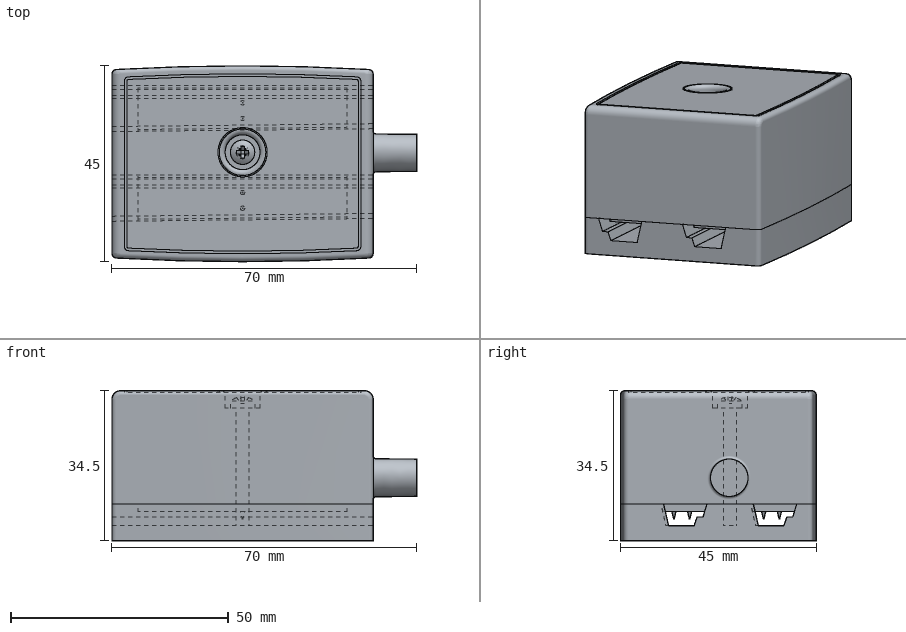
import cadquery as cq
import math

length = 60.0
width = 45.0
height = 34.5
side_bow_radius = 500.0
base_height = 8.5
end_fillet = 2.0
side_fillet = 1.1

label_inset_x = 3.45
label_inset_y = 2.45
label_thickness = 0.4
label_corner = 0.4
label_gap = 0.6
label_hole_dia = 11.3

screw_y = 2.65
rim_dia = 10.67
bore_dia = 8.0
bore_lip_fillet = 1.05
bore_depth = 4.0
head_dia = 5.6
head_height = 2.6
head_edge_height = 1.6
shank_dia = 3.0
shank_in_base = 5.0
cross_length = 3.0
cross_arm = 0.8
cross_floor_length = 0.8
cross_depth = 1.6
cross_center = 1.9
cross_center_taper = 50.0

stub_length = 10.0
stub_root_dia = 8.8
stub_tip_dia = 8.6
stub_fillet = 0.6
stub_y = 2.5
stub_z = 14.5

channel_pitch = 20.6
first_channel_y = 12.7
channel_top_half = 5.3
channel_depth = 5.0
ledge_depth = 3.0
ledge_width = 1.35
ledge_side_run = 0.95
lower_side_run = 0.7
plain_side_run = 1.15
channel_taper = 0.65

tongue_depth = 1.75
tongue_setback = 6.0
spike_offsets = (1.3, -2.3)
spike_root_dia = 1.0
spike_tip_dia = 0.15
spike_length = 1.75

channel_centers = [first_channel_y - i * channel_pitch for i in range(2)]
select_margin = 0.1


def bowed_outline(x_half, y_half, bow_radius, z):
    """Closed outline with straight ends and arced long sides, y_half tall in the middle."""
    rise = bow_radius - math.sqrt(bow_radius**2 - x_half**2)
    y_end = y_half - rise
    return (
        cq.Workplane("XY", origin=(0, 0, z))
        .moveTo(-x_half, -y_end)
        .threePointArc((0, -y_half), (x_half, -y_end))
        .lineTo(x_half, y_end)
        .threePointArc((0, y_half), (-x_half, y_end))
        .close()
    )


def rounded_enclosure():
    """Full-height block: rounded top ends, then one round running along each long side."""
    block = bowed_outline(length / 2, width / 2, side_bow_radius, 0).extrude(height)
    block = block.faces(">Z").edges("|Y").fillet(end_fillet)
    side_edges = block.faces("<Y or >Y").edges().filter(lambda edge: edge.BoundingBox().zmax > select_margin)
    return side_edges.fillet(side_fillet)


def base_zone():
    """Block spanning everything below the joint between base and housing."""
    return cq.Workplane("XY").rect(2 * length, 2 * width).extrude(base_height)


def label_plate(growth):
    """Label outline, grown on every side, from the recess floor up to the top face."""
    x_half = length / 2 - label_inset_x + growth
    y_half = width / 2 - label_inset_y + growth
    bow_radius = side_bow_radius - label_inset_y + growth
    floor = height - label_thickness
    plate = bowed_outline(x_half, y_half, bow_radius, floor).extrude(label_thickness)
    return plate.edges("|Z").fillet(label_corner + growth)


def vertical_cylinder(diameter, z_low, z_high):
    """Cylinder on the screw axis."""
    return cq.Workplane("XY", origin=(0, screw_y, z_low)).circle(diameter / 2).extrude(z_high - z_low)


def channel_outline(x, y, taper):
    """Keyed channel section at a given x, its -Y wall moved inward by the taper."""
    top_y = y + channel_top_half
    ledge_y = top_y - ledge_side_run
    lower_y = ledge_y - ledge_width
    plain_y = y - channel_top_half + taper
    return cq.Wire.makePolygon(
        [
            cq.Vector(x, top_y, base_height),
            cq.Vector(x, ledge_y, base_height - ledge_depth),
            cq.Vector(x, lower_y, base_height - ledge_depth),
            cq.Vector(x, lower_y - lower_side_run, base_height - channel_depth),
            cq.Vector(x, plain_y + plain_side_run, base_height - channel_depth),
            cq.Vector(x, plain_y, base_height),
        ],
        close=True,
    )


def channel_space(y):
    """Volume of one cable channel through the base, narrowing toward +X."""
    entry = channel_outline(-length / 2, y, 0)
    exit_end = channel_outline(length / 2, y, channel_taper)
    return cq.Workplane(obj=cq.Solid.makeLoft([entry, exit_end], True))


def tongue(y):
    """Upper part of the channel filled by the housing, set back from both ends."""
    slab = (
        cq.Workplane("XY", origin=(0, y, base_height - tongue_depth))
        .rect(length - 2 * tongue_setback, channel_pitch)
        .extrude(tongue_depth)
    )
    return channel_space(y).intersect(slab)


def spike(y):
    """Pointed contact hanging below a tongue."""
    root = base_height - tongue_depth
    cone = cq.Solid.makeCone(
        spike_root_dia / 2, spike_tip_dia / 2, spike_length, cq.Vector(0, y, root), cq.Vector(0, 0, -1)
    )
    return cq.Workplane(obj=cone)


def cable_stub():
    """Slightly tapered round stub on the +X end."""
    cone = cq.Solid.makeCone(
        stub_root_dia / 2,
        stub_tip_dia / 2,
        stub_length,
        cq.Vector(length / 2, stub_y, stub_z),
        cq.Vector(1, 0, 0),
    )
    return cq.Workplane(obj=cone)


def cross_recess(apex_z):
    """Cross recess: two arms with sloping ends around a small tapered square center."""
    arm = (
        cq.Workplane("XZ", origin=(0, screw_y, 0))
        .moveTo(-cross_length / 2, apex_z)
        .lineTo(cross_length / 2, apex_z)
        .lineTo(cross_floor_length / 2, apex_z - cross_depth)
        .lineTo(-cross_floor_length / 2, apex_z - cross_depth)
        .close()
        .extrude(cross_arm / 2, both=True)
    )
    crossing_arm = arm.rotate((0, screw_y, 0), (0, screw_y, 1), 90)
    center_depth = (cross_center - cross_arm) / 2 / math.tan(math.radians(cross_center_taper))
    center = (
        cq.Workplane("XY", origin=(0, screw_y, apex_z))
        .rect(cross_center, cross_center)
        .extrude(-center_depth, taper=cross_center_taper)
    )
    return arm.union(crossing_arm).union(center)


def make_screw():
    """Domed cross-recess screw reaching from the bore floor into the base."""
    seat = height - bore_depth
    edge_z = seat + head_edge_height
    apex_z = seat + head_height
    dome_rise = head_height - head_edge_height
    dome_radius = ((head_dia / 2) ** 2 + dome_rise**2) / (2 * dome_rise)
    mid_x = head_dia / 4
    mid_z = apex_z - dome_radius + math.sqrt(dome_radius**2 - mid_x**2)
    head = (
        cq.Workplane("XZ", origin=(0, screw_y, 0))
        .moveTo(0, seat)
        .lineTo(head_dia / 2, seat)
        .lineTo(head_dia / 2, edge_z)
        .threePointArc((mid_x, mid_z), (0, apex_z))
        .close()
        .revolve(360, (0, 0, 0), (0, 1, 0))
    )
    body = head.union(vertical_cylinder(shank_dia, base_height - shank_in_base, seat))
    return body.cut(cross_recess(apex_z))


def make_base(enclosure):
    """Lower part with the two cable channels and the blind screw hole."""
    body = enclosure.intersect(base_zone())
    for y in channel_centers:
        body = body.cut(channel_space(y))
    return body.cut(vertical_cylinder(shank_dia, base_height - shank_in_base, base_height))


def make_housing(enclosure):
    """Upper part with stub, label recess, rimmed screw bore, tongues and spikes."""
    body = enclosure.cut(base_zone()).union(cable_stub())
    root_edge = cq.selectors.BoxSelector(
        (length / 2 - select_margin, stub_y - stub_root_dia, stub_z - stub_root_dia),
        (length / 2 + select_margin, stub_y + stub_root_dia, stub_z + stub_root_dia),
    )
    body = body.edges(root_edge).edges("%CIRCLE").fillet(stub_fillet)
    rim = vertical_cylinder(rim_dia, height - label_thickness, height)
    body = body.cut(label_plate(label_gap).cut(rim))
    body = body.cut(vertical_cylinder(bore_dia, height - bore_depth, height))
    lip_edge = cq.selectors.BoxSelector(
        (-bore_dia, screw_y - bore_dia, height - select_margin),
        (bore_dia, screw_y + bore_dia, height + select_margin),
    )
    smallest = cq.selectors.RadiusNthSelector(0)
    body = body.edges(lip_edge).edges(smallest).fillet(bore_lip_fillet)
    body = body.cut(vertical_cylinder(shank_dia, base_height, height))
    for y in channel_centers:
        body = body.union(tongue(y))
        for offset in spike_offsets:
            body = body.union(spike(y + offset))
    return body


def make_label():
    """Thin plate flush with the top face, with clearance around the bore rim."""
    hole = vertical_cylinder(label_hole_dia, height - label_thickness, height)
    return label_plate(0).cut(hole)


enclosure = rounded_enclosure()
base = make_base(enclosure)
housing = make_housing(enclosure)
label = make_label()
screw = make_screw()

result = cq.Compound.makeCompound([base.val(), housing.val(), label.val(), screw.val()])